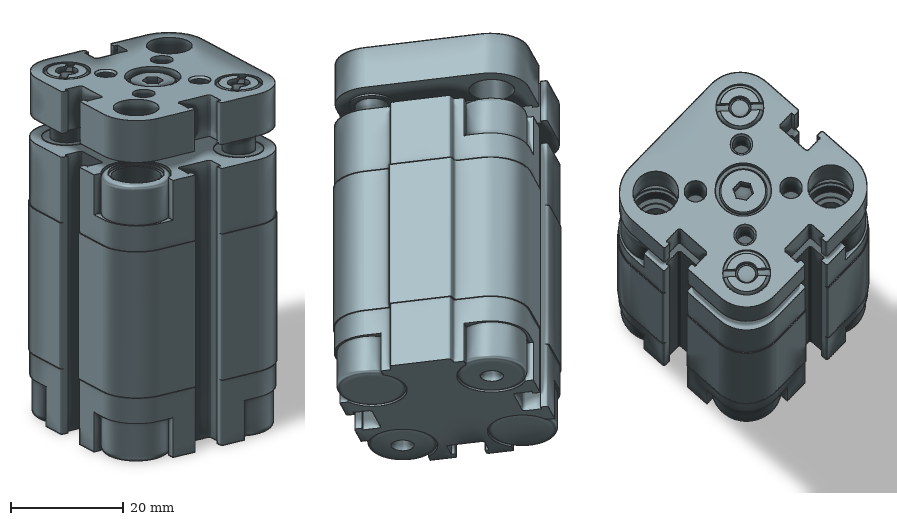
import cadquery as cq
import math

TOTAL_HEIGHT = 65.5
HOUSING_HEIGHT = 53.0
PLATE_THICKNESS = 8.0
PLATE_BOTTOM = TOTAL_HEIGHT - PLATE_THICKNESS
CAP_HEIGHT = 12.5

BARREL_WIDTH = 36.0
CAP_WIDTH = 35.6
PLATE_WIDTH = 35.4
BARREL_CORNER_RADIUS = 7.35

SLOT_FLOOR = 13.05
SLOT_LIP = 16.45
SLOT_HALF_WIDTH = 3.5
NECK_HALF_WIDTH = 2.75
NECK_ROUNDING = 0.4
SLOT_FLOOR_ROUNDING = 0.5
SLOT_ANGLES = (-90, 0, 180)

RIDGE_HEIGHT = 1.5
RIDGE_BASE_HALF_WIDTH = 6.0
RIDGE_TOP_HALF_WIDTH = 5.7
RIDGE_ROUNDING = 0.4

CORNER_PITCH = 22.1
CORNER_OFFSET = CORNER_PITCH / 2
CORNERS = [(x, y) for x in (-CORNER_OFFSET, CORNER_OFFSET) for y in (-CORNER_OFFSET, CORNER_OFFSET)]
ROD_CORNERS = [(x, y) for x, y in CORNERS if x * y > 0]
MOUNT_CORNERS = [(x, y) for x, y in CORNERS if x * y < 0]

POST_DIAMETER = 12.5
POST_HEIGHT = 7.6
POST_ROUNDING = 1.0
POST_NOTCH_INNER = 7.65

MOUNT_BORE = 4.1
MOUNT_SEAT = 5.5
MOUNT_RIM = 10.0
MOUNT_RIM_DEPTH = 0.5
MOUNT_RECESS = 9.0
MOUNT_RECESS_DEPTH = 4.0
MOUNT_STEP = 7.2
MOUNT_STEP_DEPTH = 0.5

ROD_DIAMETER = 10.0
ROD_FLAT_WIDTH = 9.0
ROD_FLAT_END = HOUSING_HEIGHT + 0.2
ROD_DEPTH = CAP_HEIGHT
ROD_POCKET_DEPTH = 1.4
ROD_TIP_DIAMETER = 8.5
ROD_TIP_HEIGHT = 0.65
ROD_TIP_CHAMFER = 0.25
HEX_ACROSS_FLATS = 3.2
HEX_DEPTH = 2.6
HEX_TURN = 30.0

GUIDE_DIAMETER = 6.0
GUIDE_DEPTH = CAP_HEIGHT
COLLAR_DIAMETER = 8.1
COLLAR_HEIGHT = 0.4
BEARING_SEAT_DIAMETER = 9.0
BEARING_SEAT_DEPTH = 0.1
HEAD_DIAMETER = 8.5
HEAD_CHAMFER = 0.65
HEAD_SLOT_WIDTH = 1.4
HEAD_SLOT_DEPTH = 0.9
HEAD_SLOT_ANGLE = -45.0
GUIDE_TIP_DIAMETER = 4.0
GUIDE_TIP_CHAMFER = 0.4
GUIDE_SOCKET_DEPTH = 1.25

ACCESS_HOLE = 8.1
SMALL_HOLE = 4.0
SMALL_HOLE_OFFSET = 6.0
THREAD_CORE = 3.2
THREAD_DEPTH = 5.25


def cylinder(diameter, bottom, top, place=(0, 0)):
    """Upright cylinder between two heights."""
    return (
        cq.Workplane("XY", origin=(place[0], place[1], bottom)).circle(diameter / 2).extrude(top - bottom)
    )


def chamfered_disc(diameter, chamfer, bottom, top, place):
    """Upright cylinder with its top edge chamfered."""
    return cylinder(diameter, bottom, top, place).faces(">Z").chamfer(chamfer)


def countersink(diameter, core, top, place):
    """Cone at 45 degrees that narrows from one diameter to the other, downward from a height."""
    depth = (diameter - core) / 2
    cone = cq.Solid.makeCone(core / 2, diameter / 2, depth, cq.Vector(*place, top - depth))
    return cq.Workplane(obj=cone)


def slot_cutter(face, bottom, top):
    """T-shaped slot that opens in the +X face and has a rounded mouth."""
    mouth = NECK_HALF_WIDTH + NECK_ROUNDING
    start = face - NECK_ROUNDING
    bulge = NECK_ROUNDING * (1 - math.sqrt(0.5))
    return (
        cq.Workplane("XY", origin=(0, 0, bottom))
        .moveTo(SLOT_FLOOR, -SLOT_HALF_WIDTH)
        .lineTo(SLOT_LIP, -SLOT_HALF_WIDTH)
        .lineTo(SLOT_LIP, -NECK_HALF_WIDTH)
        .lineTo(start, -NECK_HALF_WIDTH)
        .threePointArc((face - bulge, -NECK_HALF_WIDTH - bulge), (face, -mouth))
        .lineTo(face, mouth)
        .threePointArc((face - bulge, NECK_HALF_WIDTH + bulge), (start, NECK_HALF_WIDTH))
        .lineTo(SLOT_LIP, NECK_HALF_WIDTH)
        .lineTo(SLOT_LIP, SLOT_HALF_WIDTH)
        .lineTo(SLOT_FLOOR, SLOT_HALF_WIDTH)
        .close()
        .extrude(top - bottom)
        .edges("<X and |Z")
        .fillet(SLOT_FLOOR_ROUNDING)
    )


def slotted_block(width, bottom, top):
    """Square block with rounded corners and a slot in three of its sides."""
    block = (
        cq.Workplane("XY", origin=(0, 0, bottom))
        .rect(width, width)
        .extrude(top - bottom)
        .edges("|Z")
        .fillet(BARREL_CORNER_RADIUS - (BARREL_WIDTH - width) / 2)
    )
    cutter = slot_cutter(width / 2, bottom, top)
    for angle in SLOT_ANGLES:
        block = block.cut(cutter.rotate((0, 0, 0), (0, 0, 1), angle))
    return block


def ridge(width, bottom, top):
    """Trapezoidal ridge with rounded crest edges on the +Y face of a block of the given width."""
    inset = (BARREL_WIDTH - width) / 2
    face = width / 2
    crest = face + RIDGE_HEIGHT
    base_half = RIDGE_BASE_HALF_WIDTH - inset
    crest_half = RIDGE_TOP_HALF_WIDTH - inset
    outline = [
        (-base_half, 0),
        (-base_half, face),
        (-crest_half, crest),
        (crest_half, crest),
        (base_half, face),
        (base_half, 0),
    ]
    bar = cq.Workplane("XY", origin=(0, 0, bottom)).polyline(outline).close().extrude(top - bottom)
    return bar.edges(">Y and |Z").fillet(RIDGE_ROUNDING)


def housing_section(width, bottom, top):
    """Slotted block with the ridge on its back, rounded where the two meet."""
    section = slotted_block(width, bottom, top).union(ridge(width, bottom, top))
    face = width / 2
    foot_zone = cq.selectors.BoxSelector(
        (-RIDGE_BASE_HALF_WIDTH - RIDGE_ROUNDING, face - RIDGE_ROUNDING, bottom),
        (RIDGE_BASE_HALF_WIDTH + RIDGE_ROUNDING, face + RIDGE_ROUNDING, top),
    )
    return section.edges("|Z").edges(foot_zone).fillet(RIDGE_ROUNDING)


def corner_post(body, place, bottom, top, rounded_face):
    """Cut a corner back to a round post whose rounded end edge runs all the way around."""
    x, y = place
    notch = (
        cq.Workplane("XY", origin=(0, 0, bottom))
        .moveTo(math.copysign(POST_NOTCH_INNER, x), math.copysign(POST_NOTCH_INNER, y))
        .lineTo(math.copysign(BARREL_WIDTH, x), math.copysign(POST_NOTCH_INNER, y))
        .lineTo(math.copysign(BARREL_WIDTH, x), math.copysign(BARREL_WIDTH, y))
        .lineTo(math.copysign(POST_NOTCH_INNER, x), math.copysign(BARREL_WIDTH, y))
        .close()
        .extrude(top - bottom)
    )
    post = cylinder(POST_DIAMETER, bottom, top, place)
    rounded_post = post.faces(rounded_face).edges().fillet(POST_ROUNDING)
    return body.cut(notch.cut(post)).cut(post.cut(rounded_post))


def toward_center(place):
    """Position of the small plate hole on the same diagonal as a corner."""
    return tuple(math.copysign(SMALL_HOLE_OFFSET, coordinate) for coordinate in place)


def build_housing():
    """Barrel between two end caps, with posts, mounting holes and rod bores."""
    cap_top = HOUSING_HEIGHT - CAP_HEIGHT
    body = housing_section(CAP_WIDTH, 0, CAP_HEIGHT)
    body = body.union(housing_section(BARREL_WIDTH, CAP_HEIGHT, cap_top))
    body = body.union(housing_section(CAP_WIDTH, cap_top, HOUSING_HEIGHT))

    for place in CORNERS:
        body = corner_post(body, place, 0, POST_HEIGHT, "<Z")
    for place in MOUNT_CORNERS:
        body = corner_post(body, place, HOUSING_HEIGHT - POST_HEIGHT, HOUSING_HEIGHT, ">Z")
        body = body.cut(cylinder(MOUNT_RIM, HOUSING_HEIGHT - MOUNT_RIM_DEPTH, HOUSING_HEIGHT, place))
        recess_floor = HOUSING_HEIGHT - MOUNT_RECESS_DEPTH
        body = body.cut(cylinder(MOUNT_RECESS, recess_floor, HOUSING_HEIGHT, place))
        step_floor = recess_floor - MOUNT_STEP_DEPTH
        body = body.cut(cylinder(MOUNT_STEP, step_floor, recess_floor, place))
        body = body.cut(countersink(MOUNT_SEAT, MOUNT_BORE, step_floor, place))
        body = body.cut(cylinder(MOUNT_BORE, 0, HOUSING_HEIGHT, place))

    body = body.cut(cylinder(ROD_DIAMETER, HOUSING_HEIGHT - ROD_DEPTH, HOUSING_HEIGHT))
    for place in ROD_CORNERS:
        seat_floor = HOUSING_HEIGHT - BEARING_SEAT_DEPTH
        body = body.cut(cylinder(BEARING_SEAT_DIAMETER, seat_floor, HOUSING_HEIGHT, place))
        body = body.cut(cylinder(GUIDE_DIAMETER, HOUSING_HEIGHT - GUIDE_DEPTH, HOUSING_HEIGHT, place))
    return body


def piston_rod():
    """Rod with two wrench flats between the housing and the plate."""
    rod = cylinder(ROD_DIAMETER, HOUSING_HEIGHT - ROD_DEPTH, ROD_FLAT_END)
    flats = cylinder(ROD_DIAMETER, ROD_FLAT_END, PLATE_BOTTOM).intersect(
        cq.Workplane("XY").box(ROD_DIAMETER, ROD_FLAT_WIDTH, 2 * TOTAL_HEIGHT)
    )
    return rod.union(flats)


def add_rod_tip(plate):
    """Pocket in the plate with the chamfered rod end and its hexagon socket."""
    floor = TOTAL_HEIGHT - ROD_POCKET_DEPTH
    tip_top = floor + ROD_TIP_HEIGHT
    socket = (
        cq.Workplane("XY", origin=(0, 0, tip_top - HEX_DEPTH))
        .polygon(6, HEX_ACROSS_FLATS, circumscribed=True)
        .extrude(HEX_DEPTH)
        .rotate((0, 0, 0), (0, 0, 1), HEX_TURN)
    )
    plate = plate.cut(cylinder(ROD_DIAMETER, floor, TOTAL_HEIGHT))
    plate = plate.union(chamfered_disc(ROD_TIP_DIAMETER, ROD_TIP_CHAMFER, floor, tip_top, (0, 0)))
    return plate.cut(socket)


def add_guide_rod(plate, place):
    """Guide rod with a collar below the plate and a slotted head in its top."""
    x, y = place
    floor = TOTAL_HEIGHT - HEAD_SLOT_DEPTH
    head = cylinder(HEAD_DIAMETER, floor, TOTAL_HEIGHT, place)
    chamfered_head = head.faces(">Z").chamfer(HEAD_CHAMFER)
    slot = (
        cq.Workplane("XY")
        .box(HEAD_DIAMETER, HEAD_SLOT_WIDTH, HEAD_SLOT_DEPTH, centered=(True, True, False))
        .rotate((0, 0, 0), (0, 0, 1), HEAD_SLOT_ANGLE)
        .translate((x, y, floor))
        .intersect(head)
    )
    socket_floor = TOTAL_HEIGHT - GUIDE_SOCKET_DEPTH
    tip_top = socket_floor + GUIDE_TIP_CHAMFER
    socket = cylinder(GUIDE_TIP_DIAMETER, socket_floor, TOTAL_HEIGHT, place)
    tip = chamfered_disc(GUIDE_TIP_DIAMETER, GUIDE_TIP_CHAMFER, PLATE_BOTTOM, tip_top, place)
    plate = plate.cut(head.cut(chamfered_head)).cut(slot).cut(socket).union(tip)
    plate = plate.union(cylinder(COLLAR_DIAMETER, PLATE_BOTTOM - COLLAR_HEIGHT, PLATE_BOTTOM, place))
    return plate.union(cylinder(GUIDE_DIAMETER, HOUSING_HEIGHT - GUIDE_DEPTH, PLATE_BOTTOM, place))


def build_piston():
    """Front plate in one piece with the piston rod and both guide rods."""
    body = slotted_block(PLATE_WIDTH, PLATE_BOTTOM, TOTAL_HEIGHT)
    for place in MOUNT_CORNERS:
        body = body.cut(cylinder(ACCESS_HOLE, PLATE_BOTTOM, TOTAL_HEIGHT, place))
        inner = toward_center(place)
        body = body.cut(cylinder(SMALL_HOLE, PLATE_BOTTOM, TOTAL_HEIGHT, inner))
    for place in ROD_CORNERS:
        inner = toward_center(place)
        body = body.cut(countersink(SMALL_HOLE, THREAD_CORE, TOTAL_HEIGHT, inner))
        body = body.cut(cylinder(THREAD_CORE, TOTAL_HEIGHT - THREAD_DEPTH, TOTAL_HEIGHT, inner))
        body = add_guide_rod(body, place)
    return add_rod_tip(body).union(piston_rod())


housing = build_housing()
piston = build_piston()
result = cq.Compound.makeCompound([housing.val(), piston.val()])